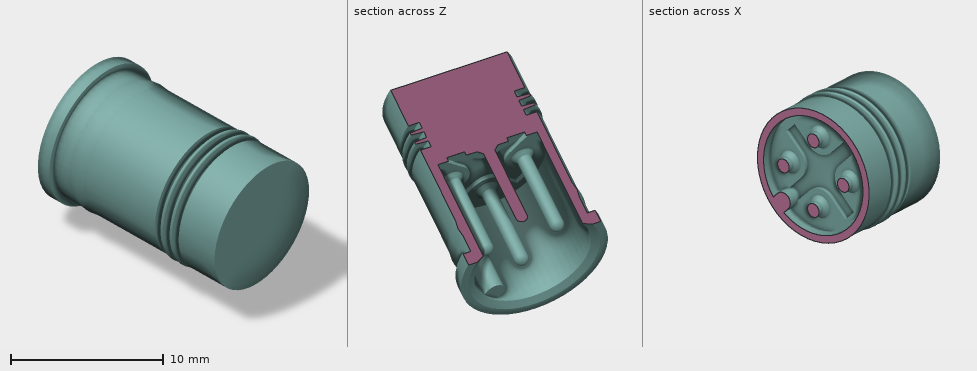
import cadquery as cq
import math

total_length = 15.0
body_diameter = 9.4

flange_diameter = 10.4
flange_thickness = 1.0

bead_start = 2.34
bead_width = 1.32
bead_height = 0.082

groove_start = 9.8
groove_width = 2.07
groove_diameter = 8.1
lip_diameter = 9.63
lip_root_width = 0.35
lip_tip_width = 0.24
lip_centers = (10.42, 11.22)

socket_diameter = 8.3
socket_depth = 8.25
mouth_diameter = 9.3
mouth_depth = 0.3

pin_count = 4
pin_diameter = 1.0
pin_offset = 2.5
pin_tip = 1.82
pin_base_diameter = 1.6
pin_base_height = 0.3

cross_arm_width = 1.0
cross_arm_reach = 3.51
cross_depth = 0.3
cross_angle = 45.0

key_width = 1.28
key_center_offset = 3.6
key_start = 0.5
key_angle = -45.0


def revolve_about_x(profile):
    """Turn a closed (axial, radial) profile around the X axis."""
    return profile.close().revolve(360, (0, 0, 0), (1, 0, 0))


def make_shell():
    """Solid turned body with the flange, bead and seal groove."""
    body_radius = body_diameter / 2
    groove_radius = groove_diameter / 2
    bead_end = bead_start + bead_width
    groove_end = groove_start + groove_width
    return revolve_about_x(
        cq.Workplane("XY")
        .moveTo(0, 0)
        .lineTo(0, flange_diameter / 2)
        .lineTo(flange_thickness, flange_diameter / 2)
        .lineTo(flange_thickness, body_radius)
        .lineTo(bead_start, body_radius)
        .threePointArc((bead_start + bead_width / 2, body_radius + bead_height), (bead_end, body_radius))
        .lineTo(groove_start, body_radius)
        .lineTo(groove_start, groove_radius)
        .lineTo(groove_end, groove_radius)
        .lineTo(groove_end, body_radius)
        .lineTo(total_length, body_radius)
        .lineTo(total_length, 0)
    )


def make_seal_lip(center):
    """Thin tapered disc whose rounded rim stands out of the seal groove."""
    root_radius = groove_diameter / 2
    tip_radius = lip_diameter / 2
    shoulder_radius = tip_radius - lip_tip_width / 2
    return revolve_about_x(
        cq.Workplane("XY")
        .moveTo(center - lip_root_width / 2, 0)
        .lineTo(center - lip_root_width / 2, root_radius)
        .lineTo(center - lip_tip_width / 2, shoulder_radius)
        .threePointArc((center, tip_radius), (center + lip_tip_width / 2, shoulder_radius))
        .lineTo(center + lip_root_width / 2, root_radius)
        .lineTo(center + lip_root_width / 2, 0)
    )


def make_socket():
    """Blind bore with a conical lead-in at its mouth."""
    socket_radius = socket_diameter / 2
    return revolve_about_x(
        cq.Workplane("XY")
        .moveTo(0, 0)
        .lineTo(0, mouth_diameter / 2)
        .lineTo(mouth_depth, socket_radius)
        .lineTo(socket_depth, socket_radius)
        .lineTo(socket_depth, 0)
    )


def make_cross():
    """Diagonal cross whose inner corners are rounded concentrically with the pins."""
    arm_size = (2 * cross_arm_reach, cross_arm_width)
    corner_radius = pin_offset / math.sqrt(2) - cross_arm_width / 2
    floor = cq.Workplane("YZ", origin=(socket_depth, 0, 0))
    cross = floor.rect(*arm_size).extrude(cross_depth)
    cross = cross.union(floor.rect(*reversed(arm_size)).extrude(cross_depth))
    inner_corners = cq.selectors.BoxSelector(
        (socket_depth, -cross_arm_width, -cross_arm_width),
        (socket_depth + cross_depth, cross_arm_width, cross_arm_width),
    )
    cross = cross.edges("|X").edges(inner_corners).fillet(corner_radius)
    return cross.rotate((0, 0, 0), (1, 0, 0), cross_angle)


def make_pin():
    """Round-nosed contact pin on a conical foot, lying on the X axis."""
    pin_radius = pin_diameter / 2
    nose_center = pin_tip + pin_radius
    nose_bulge = pin_radius / math.sqrt(2)
    return revolve_about_x(
        cq.Workplane("XY")
        .moveTo(pin_tip, 0)
        .threePointArc((nose_center - nose_bulge, nose_bulge), (nose_center, pin_radius))
        .lineTo(socket_depth - pin_base_height, pin_radius)
        .lineTo(socket_depth, pin_base_diameter / 2)
        .lineTo(socket_depth, 0)
    )


def make_key():
    """Rib with a rounded crest, rooted in the socket wall."""
    crest_radius = key_width / 2
    root_offset = (socket_diameter + body_diameter) / 4
    rib = (
        cq.Workplane("YZ", origin=(key_start, 0, 0))
        .moveTo(root_offset, -crest_radius)
        .lineTo(key_center_offset, -crest_radius)
        .threePointArc((key_center_offset - crest_radius, 0), (key_center_offset, crest_radius))
        .lineTo(root_offset, crest_radius)
        .close()
        .extrude(socket_depth + cross_depth - key_start)
    )
    return rib.rotate((0, 0, 0), (1, 0, 0), key_angle)


result = make_shell()
for lip_center in lip_centers:
    result = result.union(make_seal_lip(lip_center))

result = result.cut(make_socket()).cut(make_cross())

pin = make_pin().translate((0, 0, pin_offset))
for index in range(pin_count):
    result = result.union(pin.rotate((0, 0, 0), (1, 0, 0), index * 360 / pin_count))

result = result.union(make_key())